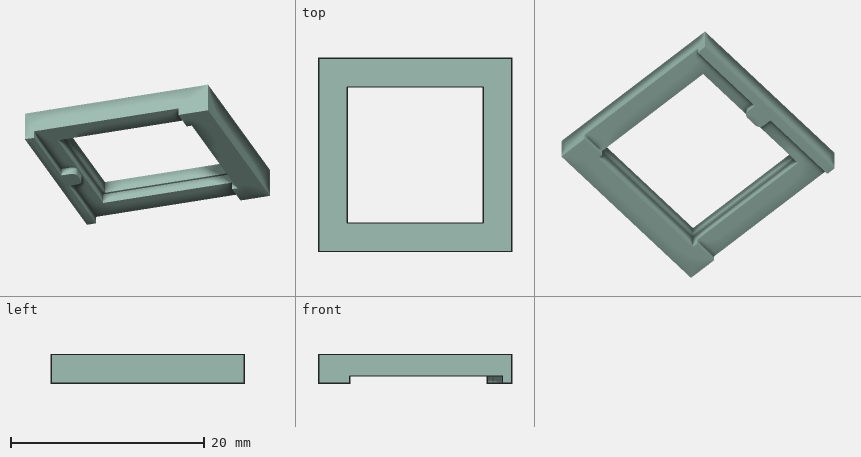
import cadquery as cq

side = 20.0
height = 3.0
window = 14.05

ledge_thickness = 1.25
ledge_width = 0.3

channel_depth = 0.75
left_rail = 3.25
right_rail = 1.0

stop_reach = 1.55
stop_length = 2.4
stop_radius = 0.6

middle = side / 2


def block(x_start, y_start, z_start, x_size, y_size, z_size):
    """Box placed by its lowest corner."""
    box = cq.Workplane("XY").box(x_size, y_size, z_size, centered=False)
    return box.translate((x_start, y_start, z_start))


def square_opening(width, depth):
    """Square prism centred in the frame, rising from the underside."""
    start = middle - width / 2
    return block(start, start, 0, width, width, depth)


def make_stop():
    """Stop with its two free vertical edges rounded."""
    stop = block(
        side - right_rail - stop_reach, middle - stop_length / 2, 0,
        stop_reach, stop_length, channel_depth,
    )
    return stop.edges("|Z and <X").fillet(stop_radius)


frame = block(0, 0, 0, side, side, height)
channel = block(left_rail, 0, 0, side - left_rail - right_rail, side, channel_depth)
frame = frame.cut(channel)
frame = frame.cut(square_opening(window, height))
frame = frame.cut(square_opening(window + 2 * ledge_width, height - ledge_thickness))

result = frame.union(make_stop())